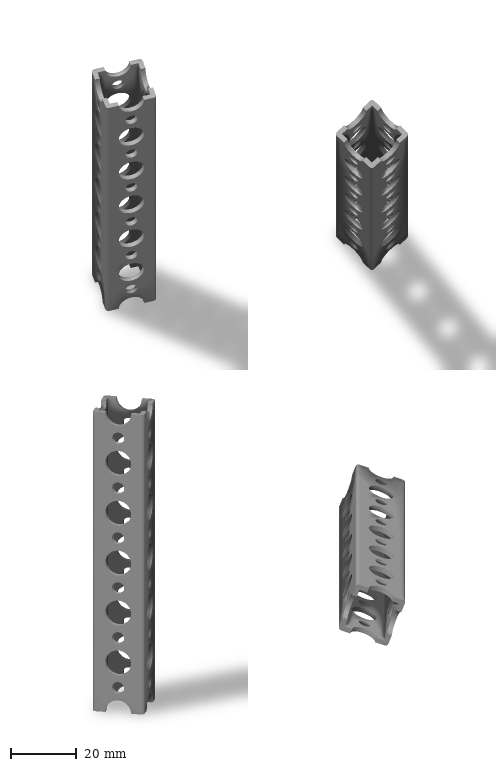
import cadquery as cq

length = 96.0
module_count = 6
pitch = length / module_count
side = pitch
wall = 1.5
corner_radius = 1.0

large_hole_diameter = pitch / 2
small_hole_diameter = 3.7


def square_tube():
    """Upright square tube with rounded outer corners and sharp inner ones."""
    inner_side = side - 2 * wall
    outer = cq.Workplane("XY").rect(side, side).extrude(length).edges("|Z").fillet(corner_radius)
    bore = cq.Workplane("XY").rect(inner_side, inner_side).extrude(length)
    return outer.cut(bore)


def cross_holes(plane, diameter, heights):
    """Cylinders crossing both opposite walls at the given heights."""
    centers = [(0, height) for height in heights]
    return cq.Workplane(plane).pushPoints(centers).circle(diameter / 2).extrude(side, both=True)


large_hole_heights = [i * pitch for i in range(module_count + 1)]
small_hole_heights = [(i + 0.5) * pitch for i in range(module_count)]

result = square_tube()
for plane in ("XZ", "YZ"):
    result = result.cut(cross_holes(plane, large_hole_diameter, large_hole_heights))
    result = result.cut(cross_holes(plane, small_hole_diameter, small_hole_heights))